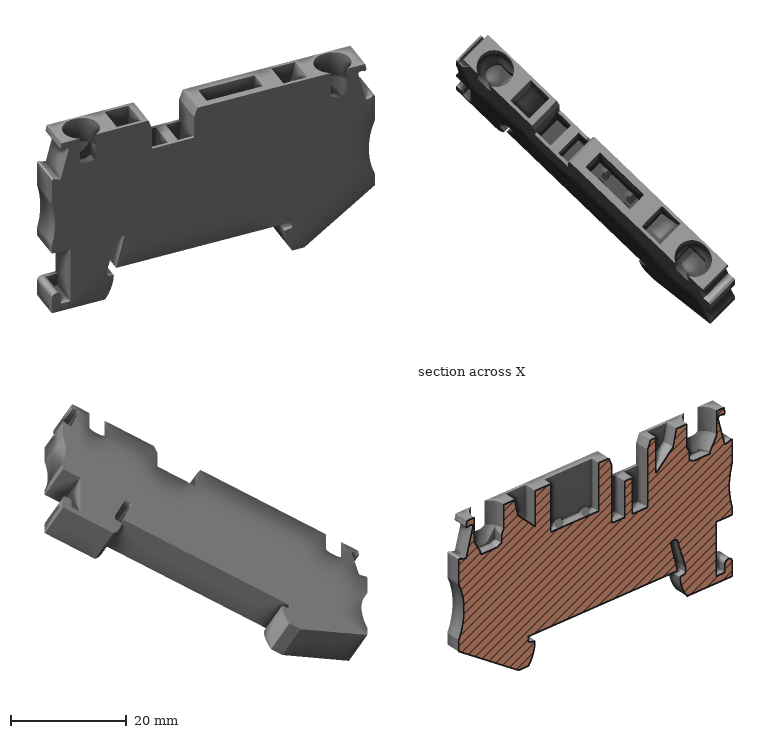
import cadquery as cq
import math

width = 6.15
length = 61.5
height = 35.25
half_width = width / 2
half_length = length / 2

back_grip_low, back_grip_high, back_grip_sag = 11.6, 22.95, 1.15
front_grip_low, front_grip_high, front_grip_sag = 14.2, 23.1, 0.6

rail_z = 6.0
foot_hook_z = 4.6
foot_undercut_z = 5.05
back_foot_y = 15.0
back_foot_nose_y = 13.5
chamfer_foot_y = 17.3
chamfer_end_z = 9.2
front_foot_y = -20.6
front_foot_nose_y = -18.95
front_foot_root_y = -20.25
undercut_bevel = 0.25
foot_bulge = 0.35
spring_slot_top_z = 12.55
spring_slot_lean = 1.6
spring_slot_foot_y = -18.5
spring_slot_width = 1.35
spring_slot_radius = 0.3
release_notch_y = -27.25
release_notch_low_z = 4.0
release_lip_radius = 0.85
release_web = 0.8
release_groove_floor_z = 1.55

notch_y_min, notch_y_max = -11.7, -3.7
notch_floor_z = 29.15
notch_chamfer_y = 0.7
notch_chamfer_z = 1.7

recess_inner_y = 27.55
recess_corner_y, recess_corner_z = 29.1, 27.7
recess_top_z = 33.95
recess_bevel = 0.3
lip_top_y = 28.9
lip_nose_y = 29.1
lip_nose_top_z, lip_nose_mid_z = 34.4, 34.0
lip_under_y, lip_under_z = 28.7, 33.75
lip_relief = 0.2
ledge_z = 28.05
ledge_crest_y, ledge_crest_z = 30.3, 28.15
ledge_step = 0.25

entry_y = 23.9
entry_x = 0.3
entry_radius = 3.0
entry_flat = 0.6
entry_depth = 4.9
funnel_shrink = 1.55
funnel_angle = 62.0
duct_half_width = 1.8
duct_round_y = 1.8
duct_shoulder_y = 0.85
duct_inner_y = 2.75
duct_extra_depth = 0.3
duct_ramp_angle = 25.0

pocket_half_width = 2.5
pocket_inner_y, pocket_outer_y = 13.6, 18.15
pocket_wall_run = 0.75
pocket_wall_angle = 78.0
pocket_ramp_angle = 45.0

notch_pocket_lengths = (3.3, 2.8)
notch_pocket_depth = 7.4

bridge_half_width = 1.8
bridge_y_min, bridge_y_max = -0.7, 10.0
bridge_depth = 9.85
lug_ridge_ys = (7.3, 1.35)
lug_half_length = 1.0
lug_inner_x = 0.9
lug_height = 0.6
finger_tip_x = 0.2
finger_back_length = 0.25
finger_height = 1.2


def prism(points, x_half):
    """Closed YZ polygon extruded symmetrically in X."""
    return cq.Workplane("YZ").polyline(points).close().extrude(x_half, both=True)


def bulge_point(start, end, bulge):
    """Middle of an arc over start-end; positive bulge bows toward (dz, -dy) of the chord."""
    dy, dz = end[0] - start[0], end[1] - start[1]
    chord = math.hypot(dy, dz)
    mid_y, mid_z = (start[0] + end[0]) / 2, (start[1] + end[1]) / 2
    return (mid_y + bulge * dz / chord, mid_z - bulge * dy / chord)


def make_body():
    back_sole, back_nose = (back_foot_y, 0), (back_foot_nose_y, foot_hook_z)
    front_nose, front_sole = (front_foot_nose_y, foot_hook_z), (front_foot_y, 0)
    spring_slot_top_y = spring_slot_foot_y + spring_slot_lean
    outer_slot_top_y = spring_slot_top_y - spring_slot_width
    lip_45 = release_lip_radius * (1 - math.sqrt(0.5))
    back_grip_mid = (half_length - back_grip_sag, (back_grip_low + back_grip_high) / 2)
    front_grip_mid = (front_grip_sag - half_length, (front_grip_low + front_grip_high) / 2)
    body = (
        cq.Workplane("YZ")
        .moveTo(half_length, height)
        .lineTo(half_length, back_grip_high)
        .threePointArc(back_grip_mid, (half_length, back_grip_low))
        .lineTo(half_length, chamfer_end_z)
        .lineTo(chamfer_foot_y, 0)
        .lineTo(*back_sole)
        .threePointArc(bulge_point(back_nose, back_sole, foot_bulge), back_nose)
        .lineTo(back_foot_y - undercut_bevel, foot_undercut_z - undercut_bevel)
        .lineTo(back_foot_y, foot_undercut_z)
        .lineTo(back_foot_y, rail_z)
        .lineTo(spring_slot_foot_y, rail_z)
        .lineTo(spring_slot_top_y, spring_slot_top_z)
        .lineTo(outer_slot_top_y, spring_slot_top_z)
        .lineTo(front_foot_root_y, rail_z)
        .lineTo(front_foot_root_y, foot_undercut_z)
        .lineTo(front_foot_root_y + undercut_bevel, foot_undercut_z - undercut_bevel)
        .lineTo(*front_nose)
        .threePointArc(bulge_point(front_nose, front_sole, -foot_bulge), front_sole)
        .lineTo(-half_length, 0)
        .lineTo(-half_length, release_notch_low_z - release_lip_radius)
        .threePointArc(
            (lip_45 - half_length, release_notch_low_z - lip_45),
            (release_lip_radius - half_length, release_notch_low_z),
        )
        .lineTo(release_notch_y, release_notch_low_z)
        .lineTo(release_notch_y, spring_slot_top_z)
        .lineTo(-half_length, spring_slot_top_z)
        .lineTo(-half_length, front_grip_low)
        .threePointArc(front_grip_mid, (-half_length, front_grip_high))
        .lineTo(-half_length, height)
        .lineTo(notch_y_min - notch_chamfer_y, height)
        .lineTo(notch_y_min, height - notch_chamfer_z)
        .lineTo(notch_y_min, notch_floor_z)
        .lineTo(notch_y_max, notch_floor_z)
        .lineTo(notch_y_max, height - notch_chamfer_z)
        .lineTo(notch_y_max + notch_chamfer_y, height)
        .close()
        .extrude(half_width, both=True)
    )
    margin = 0.05
    slot_top = cq.selectors.BoxSelector(
        (-width, outer_slot_top_y - margin, spring_slot_top_z - margin),
        (width, spring_slot_top_y + margin, spring_slot_top_z + margin),
    )
    return body.edges("|X").edges(slot_top).fillet(spring_slot_radius)


def release_groove():
    """Groove behind the round-backed release lip, open on the +X side."""
    lip_back_y = 2 * release_lip_radius - half_length
    lip_45 = release_lip_radius * (1 - math.sqrt(0.5))
    return (
        cq.Workplane("YZ", origin=(release_web - half_width, 0, 0))
        .moveTo(release_notch_y, release_notch_low_z)
        .lineTo(release_notch_y, release_groove_floor_z)
        .lineTo(lip_back_y, release_groove_floor_z)
        .lineTo(lip_back_y, release_notch_low_z - release_lip_radius)
        .threePointArc(
            (lip_back_y - lip_45, release_notch_low_z - lip_45),
            (release_lip_radius - half_length, release_notch_low_z),
        )
        .close()
        .extrude(width - release_web)
    )


def marker_recess():
    """Leaning recess under a rounded lip at the +Y end."""
    return (
        cq.Workplane("YZ")
        .moveTo(lip_top_y, height)
        .lineTo(lip_nose_y, lip_nose_top_z)
        .threePointArc((lip_nose_y, lip_nose_mid_z), (lip_under_y, lip_under_z))
        .lineTo(lip_under_y - lip_relief, recess_top_z)
        .lineTo(recess_inner_y + recess_bevel, recess_top_z)
        .lineTo(recess_inner_y, recess_top_z - recess_bevel)
        .lineTo(recess_corner_y, recess_corner_z)
        .lineTo(ledge_crest_y - ledge_step, ledge_crest_z - ledge_step)
        .lineTo(ledge_crest_y, ledge_crest_z)
        .lineTo(half_length, ledge_z)
        .lineTo(half_length, height)
        .close()
        .extrude(half_width, both=True)
    )


def obround(z, radius):
    """Wire rounded at both Y ends, at one level of the +Y conductor entry."""
    return (
        cq.Workplane("XY", origin=(entry_x, entry_y, z))
        .slot2D(entry_flat + 2 * radius, 2 * radius, 90)
        .wires()
        .val()
    )


def conductor_entry():
    """+Y entry: straight bore, funnel, then a U-shaped duct with a ramp on its inner side."""
    bore_z = height - entry_depth
    funnel_z = bore_z - funnel_shrink * math.tan(math.radians(funnel_angle))
    floor_z = funnel_z - duct_extra_depth
    wide = obround(bore_z, entry_radius)
    narrow = obround(funnel_z, entry_radius - funnel_shrink)
    bore = cq.Workplane(cq.Solid.extrudeLinear(wide, [], cq.Vector(0, 0, entry_depth)))
    funnel = cq.Workplane(cq.Solid.makeLoft([wide, narrow], True))

    duct = (
        cq.Workplane("XY", origin=(0, entry_y, floor_z))
        .moveTo(-duct_half_width, -duct_inner_y)
        .lineTo(duct_half_width, -duct_inner_y)
        .lineTo(duct_half_width, duct_shoulder_y)
        .threePointArc((0, duct_round_y), (-duct_half_width, duct_shoulder_y))
        .close()
        .extrude(bore_z - floor_z)
    )
    ramp_start_y = entry_y - duct_round_y
    ramp_end_y = entry_y - duct_inner_y
    ramp_rise = (ramp_start_y - ramp_end_y) * math.tan(math.radians(duct_ramp_angle))
    ramp = prism(
        [(ramp_start_y, floor_z), (ramp_end_y, floor_z), (ramp_end_y, floor_z + ramp_rise)],
        duct_half_width,
    )
    return bore.union(funnel).union(duct.cut(ramp))


def release_pocket():
    """+Y pocket: steep outer wall, then a ramp down to the upright inner wall."""
    ramp_y = pocket_outer_y - pocket_wall_run
    ramp_z = height - pocket_wall_run * math.tan(math.radians(pocket_wall_angle))
    bottom_z = ramp_z - (ramp_y - pocket_inner_y) * math.tan(math.radians(pocket_ramp_angle))
    return prism(
        [(pocket_outer_y, height), (ramp_y, ramp_z), (pocket_inner_y, bottom_z), (pocket_inner_y, height)],
        pocket_half_width,
    )


def top_pocket(x_half, y_min, y_max, top_z, depth):
    """Straight-walled pocket, centred in X, sunk from a flat face at top_z."""
    return (
        cq.Workplane("XY", origin=(0, (y_min + y_max) / 2, top_z))
        .rect(2 * x_half, y_max - y_min)
        .extrude(-depth)
    )


def notch_pockets():
    """Pockets flush with the two walls of the top notch, leaving a bridge between them."""
    low_length, high_length = notch_pocket_lengths
    low = top_pocket(
        pocket_half_width, notch_y_min, notch_y_min + low_length, notch_floor_z, notch_pocket_depth
    )
    high = top_pocket(
        pocket_half_width, notch_y_max - high_length, notch_y_max, notch_floor_z, notch_pocket_depth
    )
    return low.union(high)


def contact_lug(ridge_y, floor_z):
    """Gabled lug on the -X wall of the bridge slot, with a finger sloping down to the middle."""
    y_low, y_high = ridge_y - lug_half_length, ridge_y + lug_half_length
    gable = (
        cq.Workplane("YZ", origin=(-bridge_half_width, 0, 0))
        .polyline([(y_low, floor_z), (ridge_y, floor_z + lug_height), (y_high, floor_z)])
        .close()
        .extrude(bridge_half_width - lug_inner_x)
    )
    finger = (
        cq.Workplane("XZ", origin=(0, y_high, 0))
        .moveTo(-lug_inner_x, floor_z)
        .lineTo(-finger_tip_x, floor_z)
        .lineTo(-lug_inner_x, floor_z + finger_height)
        .close()
        .extrude(lug_half_length + finger_back_length)
    )
    return gable.union(finger)


def bridge_slot():
    floor_z = height - bridge_depth
    slot = top_pocket(bridge_half_width, bridge_y_min, bridge_y_max, height, bridge_depth)
    for ridge_y in lug_ridge_ys:
        lug = contact_lug(ridge_y, floor_z)
        slot = slot.cut(lug).cut(lug.mirror("YZ"))
    return slot


result = make_body()
for end_feature in (marker_recess(), conductor_entry(), release_pocket()):
    result = result.cut(end_feature).cut(end_feature.mirror("XZ"))
result = result.cut(notch_pockets())
result = result.cut(bridge_slot()).cut(release_groove())